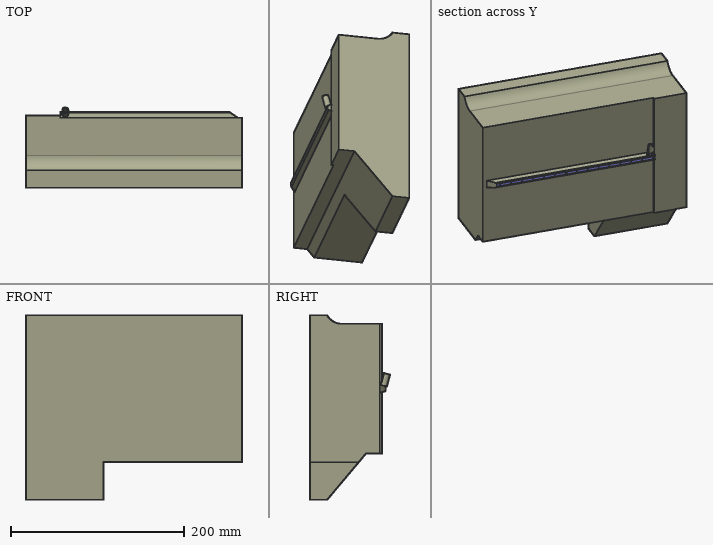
import cadquery as cq
import math

width = 250.0
plate_thickness = 20.0
body_height = 150.0
plate_rise = 10.0
slope_height = 53.62
slope_depth = 45.0
main_depth = 81.0
cove_radius = 20.0
cove_angle = 60.0

body_top = slope_height + body_height
total_height = body_top + plate_rise

pad_width = 40.0
pad_depth = 83.5

leg_width = 90.0
corner_height = slope_height - 10.0

tilt = 15.0
bar_reach = 7.0
nose_bulge = 1.3
nose_height = 6.3
nose_top = 131.6
bar_end_outer = 234.5
bar_end_inner = 245.0

pin_diameter = 7.5
bore_diameter = 4.5
pin_length = 14.4
pin_x = 45.6
pin_tip_y = 92.93


def make_profile(depth, length):
    """Side profile of the housing with the given depth, extruded from x = 0."""
    cove_end = plate_thickness + cove_radius * math.sin(math.radians(cove_angle))
    half_angle = math.radians(cove_angle / 2)
    cove_middle = (
        cove_end - cove_radius * math.sin(half_angle),
        body_top + cove_radius * (1 - math.cos(half_angle)),
    )
    return (
        cq.Workplane("YZ")
        .moveTo(0, 0)
        .lineTo(plate_thickness, 0)
        .lineTo(plate_thickness + slope_depth, slope_height)
        .lineTo(depth, slope_height)
        .lineTo(depth, body_top)
        .lineTo(cove_end, body_top)
        .threePointArc(cove_middle, (plate_thickness, total_height))
        .lineTo(0, total_height)
        .close()
        .extrude(length)
    )


def make_housing():
    """Stepped housing with its lower right corner removed."""
    housing = make_profile(main_depth, width).union(make_profile(pad_depth, pad_width))
    corner = cq.Workplane("XY").box(width - leg_width, pad_depth, corner_height, centered=False)
    return housing.cut(corner.translate((leg_width, 0, 0)))


def bar_top_at(y):
    """Height of the bar's sloping top at a given depth."""
    nose_edge_y = main_depth + bar_reach - nose_bulge
    return nose_top + (nose_edge_y - y) * math.tan(math.radians(tilt))


def make_bar():
    """Tapered bar from the pad to a slanted right end."""
    outer_y = main_depth + bar_reach
    nose_edge_y = outer_y - nose_bulge
    nose_middle = nose_top - nose_height / 2
    back_top = bar_top_at(main_depth)
    back_bottom = 2 * nose_middle - back_top
    bar = (
        cq.Workplane("YZ", origin=(pad_width, 0, 0))
        .moveTo(main_depth, back_top)
        .lineTo(nose_edge_y, nose_top)
        .threePointArc((outer_y, nose_middle), (nose_edge_y, nose_top - nose_height))
        .lineTo(main_depth, back_bottom)
        .close()
        .extrude(bar_end_inner - pad_width)
    )
    outline = [
        (pad_width, main_depth),
        (bar_end_inner, main_depth),
        (bar_end_outer, outer_y),
        (pad_width, outer_y),
    ]
    return bar.intersect(cq.Workplane("XY").polyline(outline).close().extrude(total_height))


def make_pin():
    """Hollow pin square to the top of the bar."""
    sine = math.sin(math.radians(tilt))
    cosine = math.cos(math.radians(tilt))
    foot_y = pin_tip_y - pin_diameter / 2 * cosine - pin_length * sine
    foot_z = bar_top_at(foot_y)
    foot = cq.Plane(origin=(pin_x, foot_y, foot_z), xDir=(1, 0, 0), normal=(0, sine, cosine))
    return cq.Workplane(foot).circle(pin_diameter / 2).circle(bore_diameter / 2).extrude(pin_length)


result = make_housing().union(make_bar()).union(make_pin())